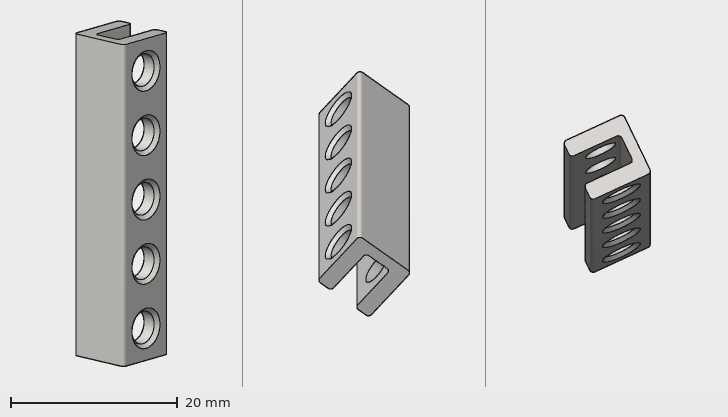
import cadquery as cq

length = 40.0
width = 8.0
slot_width = 3.7
floor_thickness = 1.4
outer_radius = 0.5
slot_radius = 0.5

hole_count = 5
hole_pitch = length / hole_count
hole_diameter = 4.0
countersink_diameter = 5.0
countersink_depth = (countersink_diameter - hole_diameter) / 2


def make_channel():
    """U-shaped bar along Z, open toward +Y, with rounded long edges."""
    bar = cq.Workplane("XY").box(width, width, length)
    slot_depth = width - floor_thickness
    slot = (
        cq.Workplane("XY")
        .box(slot_width, slot_depth, length)
        .edges("|Z and <Y")
        .fillet(slot_radius)
        .translate((0, floor_thickness / 2, 0))
    )
    return bar.cut(slot).edges("|Z and (<Y or >Y)").fillet(outer_radius)


def make_hole_cutter(height):
    """Cross hole along X, countersunk at both outer faces."""
    half_width = width / 2
    bore_radius = hole_diameter / 2
    mouth_radius = countersink_diameter / 2
    profile = [
        (-half_width, 0),
        (-half_width, mouth_radius),
        (-half_width + countersink_depth, bore_radius),
        (half_width - countersink_depth, bore_radius),
        (half_width, mouth_radius),
        (half_width, 0),
    ]
    cutter = cq.Workplane("XY").polyline(profile).close().revolve(360, (0, 0, 0), (1, 0, 0))
    return cutter.translate((0, 0, height))


result = make_channel()
for index in range(hole_count):
    height = (index - (hole_count - 1) / 2) * hole_pitch
    result = result.cut(make_hole_cutter(height))